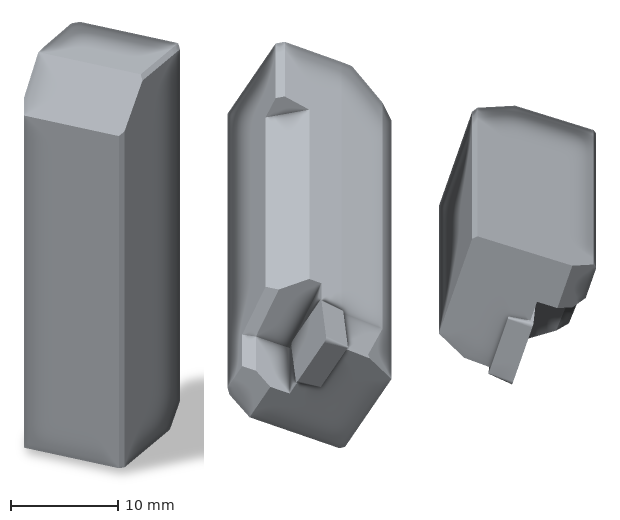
import cadquery as cq
import math


shank_width = 11.25
shank_depth = 12.2
shank_height = 38.67
edge_chamfer = 0.4
flank_break_y = 5.62
flank_break_x = 0.08
flank_lean_y = 1.2
flank_lean_x = 0.3
front_corner_x = 0.95
top_bevel = 4.48
bottom_bevel = 2.48

recess_angle = 40.0
corner_facet_y = 11.5
recess_start_y = 8.92
recess_top_z = 30.85
recess_end_rise = 0.6

pocket_front_y = 7.7
pocket_flare_y = 11.2
pocket_flare_angle = 43.0
pocket_ramp_top_z = 8.5
pocket_floor_top_z = 6.0
pocket_ramp_angle = 20.0

insert_inscribed_diameter = 6.35
insert_thickness = 2.4
insert_corner_angle = 80.0
insert_relief_angle = 7.0
insert_corner_radius = 0.4
insert_overhang_x = 12.85 - shank_width
insert_overhang_z = 39.3 - shank_height

nose_height = 5.6
nose_angle = 90.0 - insert_corner_angle
nose_chamfer_x = 0.15
nose_chamfer_z = 0.3

overcut = 3.93


def tan_deg(angle):
    return math.tan(math.radians(angle))


def make_shank():
    corner_facet_x = (shank_depth - corner_facet_y) * tan_deg(recess_angle)
    outline = [
        (front_corner_x, 0),
        (shank_width - edge_chamfer, 0),
        (shank_width, edge_chamfer),
        (shank_width, shank_depth - edge_chamfer),
        (shank_width - edge_chamfer, shank_depth),
        (corner_facet_x, shank_depth),
        (0, corner_facet_y),
        (flank_break_x, flank_break_y),
        (flank_lean_x, flank_lean_y),
    ]
    shank = cq.Workplane("XY").polyline(outline).close().extrude(shank_height)
    side_profile = [
        (0, 0),
        (shank_depth - bottom_bevel, 0),
        (shank_depth, bottom_bevel),
        (shank_depth, shank_height),
        (top_bevel, shank_height),
        (0, shank_height - top_bevel),
    ]
    side = cq.Workplane("YZ").polyline(side_profile).close().extrude(shank_width)
    top_edge = (
        cq.Workplane("XZ")
        .moveTo(shank_width - edge_chamfer, shank_height)
        .lineTo(shank_width, shank_height)
        .lineTo(shank_width, shank_height - edge_chamfer)
        .close()
        .extrude(-shank_depth)
    )
    return shank.intersect(side).cut(top_edge)


def make_nose():
    """Wedge growing outward toward the underside, parallel to the leaning flank."""
    tip_x = -nose_height * tan_deg(nose_angle)
    profile = [
        (0, nose_height),
        (tip_x + nose_chamfer_z * tan_deg(nose_angle), nose_chamfer_z),
        (tip_x + nose_chamfer_x, 0),
        (front_corner_x, 0),
        (front_corner_x, nose_height),
    ]
    lean_angle = math.degrees(math.atan2(flank_lean_x - flank_break_x, flank_break_y - flank_lean_y))
    wedge = (
        cq.Workplane("XZ")
        .polyline(profile).close()
        .extrude(flank_break_y + overcut, both=True)
        .rotate((0, 0, 0), (0, 0, 1), lean_angle)
        .translate((flank_break_x, flank_break_y, 0))
    )
    facet_slope = flank_lean_y / (front_corner_x - flank_lean_x)
    outer_x = front_corner_x - flank_break_y / facet_slope
    limit = (
        cq.Workplane("XY")
        .moveTo(front_corner_x, 0)
        .lineTo(front_corner_x, flank_break_y)
        .lineTo(outer_x, flank_break_y)
        .close()
        .extrude(nose_height)
    )
    return wedge.intersect(limit)


def make_recess_cutter():
    """Straight recess with a flared upper end; its lower end opens into the chip pocket."""
    facet_distance = (corner_facet_y - recess_start_y) * math.cos(math.radians(90 - recess_angle))
    flare = recess_end_rise / facet_distance * overcut
    across = math.radians(recess_angle)
    plane = cq.Plane(
        origin=(0, recess_start_y, 0),
        xDir=(-math.cos(across), math.sin(across), 0),
        normal=(math.sin(across), math.cos(across), 0),
    )
    profile = [
        (0, pocket_floor_top_z),
        (overcut, pocket_floor_top_z),
        (overcut, recess_top_z + flare),
        (0, recess_top_z),
    ]
    return cq.Workplane(plane).polyline(profile).close().extrude(2 * overcut, both=True)


def chip_pocket_profile(margin):
    """Ramp and floor outline, with both faces moved outward by a margin."""
    ramp_slope = tan_deg(pocket_ramp_angle)
    ramp_rise = margin / math.cos(math.radians(pocket_ramp_angle))
    floor_x = (pocket_ramp_top_z - pocket_floor_top_z) / ramp_slope + margin
    return [
        (-overcut, -overcut),
        (floor_x, -overcut),
        (floor_x, pocket_ramp_top_z + ramp_rise - floor_x * ramp_slope),
        (-overcut, pocket_ramp_top_z + ramp_rise + overcut * ramp_slope),
    ]


def make_chip_pocket_cutter():
    """Constant section from the insert backward, flaring toward the rear face."""
    straight = (
        cq.Workplane("XZ", origin=(0, pocket_front_y, 0))
        .polyline(chip_pocket_profile(0)).close()
        .extrude(pocket_front_y - pocket_flare_y)
    )
    flare_depth = shank_depth - pocket_flare_y
    flare_margin = flare_depth * tan_deg(pocket_flare_angle)
    flared = (
        cq.Workplane("XZ", origin=(0, pocket_flare_y, 0))
        .polyline(chip_pocket_profile(0)).close()
        .workplane(offset=-flare_depth)
        .polyline(chip_pocket_profile(flare_margin)).close()
        .loft(ruled=True)
    )
    return straight.union(flared)


def make_insert():
    """Rhombus whose lower side is level; it narrows from the cutting face to its seat."""
    angle = math.radians(insert_corner_angle)
    side = insert_inscribed_diameter / math.sin(angle)
    corner_setback = insert_corner_radius / math.tan(angle / 2)
    left = -insert_overhang_x + insert_corner_radius - corner_setback
    bottom = -insert_overhang_z
    top = bottom + insert_inscribed_diameter
    lean = side * math.cos(angle)
    outline = [
        (left, bottom),
        (left + side, bottom),
        (left + side + lean, top),
        (left + lean, top),
    ]
    rhombus = cq.Sketch().polygon(outline + outline[:1]).vertices().fillet(insert_corner_radius)
    return (
        cq.Workplane("XZ", origin=(0, flank_break_y + insert_thickness, 0))
        .placeSketch(rhombus)
        .extrude(insert_thickness, taper=insert_relief_angle)
    )


insert = make_insert()
holder = (
    make_shank()
    .cut(make_recess_cutter())
    .cut(make_chip_pocket_cutter())
    .union(make_nose())
    .cut(insert)
)

result = cq.Compound.makeCompound([holder.val(), insert.val()])